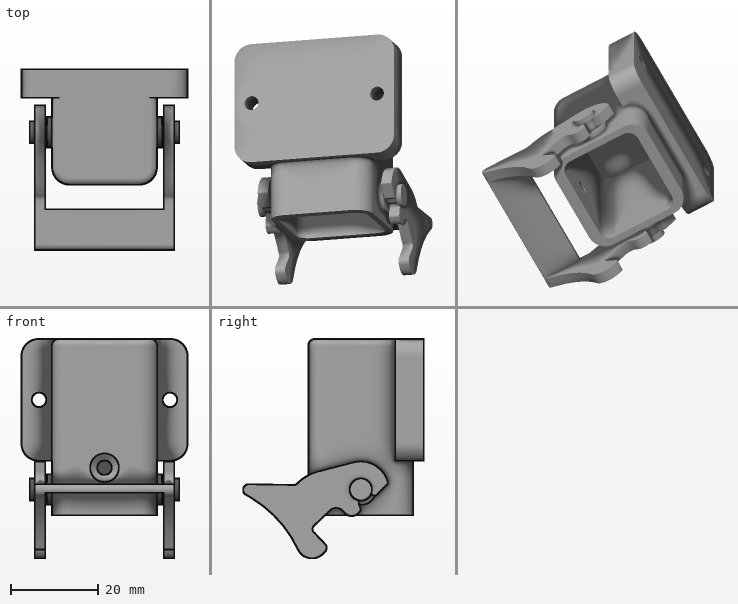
import cadquery as cq
import math

body_width = 24.05
body_height = 40.35
body_corner_radius = 4.1
top_edge_radius = 1.55
side_wall = 1.5
front_wall = 2.6
top_wall = side_wall

plate_width = 38.0
plate_height = 27.9
plate_thickness = 6.55
plate_overhang = 2.4
plate_corner_radius = 4.0
mount_hole_diameter = 3.25
mount_hole_spacing = 29.9

screw_height = 10.9
screw_hole_diameter = 3.3
countersink_diameter = 6.55
countersink_angle = 90.0

pivot_height = 5.9
boss_diameter = 7.0
boss_length = 1.15
pin_diameter = 3.55
pin_head_diameter = 5.05
pin_head_length = 1.15

lever_width = 31.9
arm_thickness = 2.45
bar_back_reach = 17.55
bar_drop = 0.75

lever_corners = [
    (-4.5, 7.75, 6.35),
    (12.45, 3.4, 10.05),
    (14.9, 1.05, 1.0),
    (30.5, 1.3, 1.3),
    (17.9, -6.15, 27.0),
    (12.25, -18.3, 3.55),
    (7.25, -13.35, 1.25),
    (11.45, -9.05, 1.0),
    (5.6, -3.4, 2.0),
    (2.1, -6.9, 2.0),
    (0.0, -4.8, 0.5),
    (0.8, -1.7, 0.0),
    (-1.5, -1.05, 0.0),
    (-3.4, -1.4, 0.25),
    (-6.2, 1.4, 0.3),
]

body_back = body_width / 2
body_front = -body_width / 2
plate_back = body_back + plate_overhang
plate_bottom = body_height - plate_height
arm_inner = lever_width / 2 - arm_thickness


def rounded_outline(workplane, corners):
    """Close a polygon whose corners are (x, y, radius), each rounded with a tangent arc."""
    arcs = []
    for i, (x, y, radius) in enumerate(corners):
        corner = cq.Vector(x, y)
        to_previous = (cq.Vector(*corners[i - 1][:2]) - corner).normalized()
        to_next = (cq.Vector(*corners[(i + 1) % len(corners)][:2]) - corner).normalized()
        half_angle = to_previous.getAngle(to_next) / 2
        setback = radius / math.tan(half_angle)
        to_middle = radius / math.sin(half_angle) - radius
        middle = corner + (to_previous + to_next).normalized() * to_middle
        arcs.append((radius, corner + to_previous * setback, middle, corner + to_next * setback))

    outline = workplane.moveTo(*arcs[-1][3].toTuple()[:2])
    for radius, start, middle, end in arcs:
        outline = outline.lineTo(start.x, start.y)
        if radius > 0:
            outline = outline.threePointArc((middle.x, middle.y), (end.x, end.y))
    return outline.wire()


def make_body():
    body = cq.Workplane("XY").rect(body_width, body_width).extrude(body_height)
    body = body.edges("|Z").fillet(body_corner_radius)
    return body.faces(">Z").edges().fillet(top_edge_radius)


def make_plate():
    plate = (
        cq.Workplane("XY")
        .box(plate_width, plate_thickness, plate_height)
        .edges("|Y").fillet(plate_corner_radius)
        .faces("<Y").workplane()
        .rarray(mount_hole_spacing, 0.5, 2, 1).hole(mount_hole_diameter)
    )
    return plate.translate((0, plate_back - plate_thickness / 2, plate_bottom + plate_height / 2))


def make_cavity():
    cavity = (
        cq.Workplane("XY")
        .rect(body_width - 2 * side_wall, body_width - 2 * front_wall)
        .extrude(body_height - top_wall)
    )
    return cavity.edges("|Z").fillet(body_corner_radius - side_wall)


def make_screw_hole():
    cone_step = (countersink_diameter - screw_hole_diameter) / 2
    depth = cone_step / math.tan(math.radians(countersink_angle / 2))
    front = cq.Workplane("XZ", origin=(0, body_front, screw_height))
    bore = front.circle(screw_hole_diameter / 2).extrude(-2 * front_wall)
    cone = cq.Solid.makeCone(
        countersink_diameter / 2, screw_hole_diameter / 2, depth,
        cq.Vector(0, body_front, screw_height), cq.Vector(0, 1, 0),
    )
    return bore.union(cq.Workplane(cone))


def make_pivot():
    """Boss, pin and pin head on the +X side of the housing."""
    def disc(diameter, start, end):
        plane = cq.Workplane("YZ", origin=(start, 0, pivot_height))
        return plane.circle(diameter / 2).extrude(end - start)

    wall = body_width / 2
    head_start = lever_width / 2
    boss = disc(boss_diameter, wall, wall + boss_length)
    pin = disc(pin_diameter, wall, head_start)
    head = disc(pin_head_diameter, head_start, head_start + pin_head_length)
    return boss.union(pin).union(head)


def make_lever():
    """Lever profile extruded across its width, then opened up to leave arms and bar."""
    side = cq.Plane(origin=(lever_width / 2, 0, pivot_height), xDir=(0, -1, 0), normal=(-1, 0, 0))
    lever = rounded_outline(cq.Workplane(side), lever_corners).extrude(lever_width)
    reach = 2 * body_height
    gap = 2 * arm_inner
    behind_bar = cq.Workplane("XY").box(gap, reach, reach).translate((0, reach / 2 - bar_back_reach, 0))
    below_bar = cq.Workplane("XY").box(gap, reach, reach).translate(
        (0, 0, pivot_height - bar_drop - reach / 2)
    )
    return lever.cut(behind_bar).cut(below_bar)


pivot = make_pivot()

result = (
    make_body()
    .union(make_plate())
    .cut(make_cavity())
    .cut(make_screw_hole())
    .union(pivot)
    .union(pivot.mirror("YZ"))
    .union(make_lever())
)